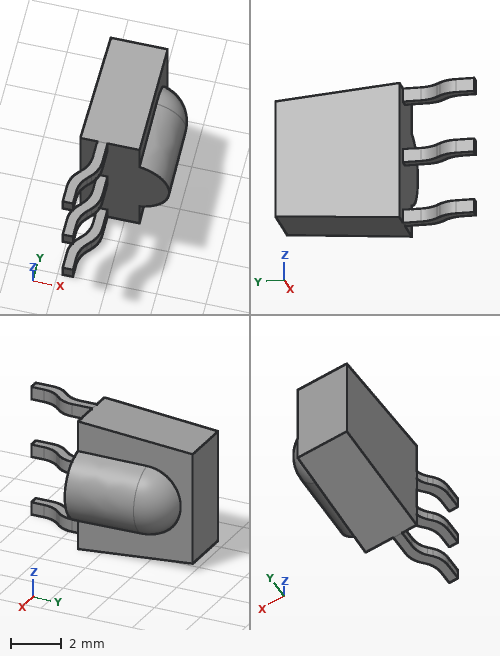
import cadquery as cq
import math

total_length = 8.0
lead_length = 3.0
body_depth = 2.4
body_height = 5.6
end_height = 4.8
side_draft = 0.05
body_length = total_length - lead_length

overall_depth = 3.6
lens_base_radius = 1.54
lens_dome_radius = 1.5
dome_center_y = 6.0
lens_center_x = overall_depth - lens_base_radius

lead_count = 3
lead_width = 0.54
lead_thickness = 0.42
lead_root_x = 0.69
lead_pitch = (body_height - lead_width) / (lead_count - 1)
bend_radius = 1.04
bend_angle = math.radians(42)
bend_start_y = 2.28


def make_body():
    """Wedge-shaped housing tapering towards its far end."""
    far_depth = body_depth - 2 * side_draft
    base = cq.Workplane("XZ", origin=(body_depth / 2, lead_length, 0))
    return (
        base.rect(body_depth, body_height)
        .workplane(offset=-body_length)
        .rect(far_depth, end_height)
        .loft(ruled=True)
    )


def make_lens():
    """Revolve the tapered column and its dome about an axis along Y."""
    column_length = dome_center_y - lead_length
    dome_mid = lens_dome_radius * math.sqrt(0.5)
    return (
        cq.Workplane("XY", origin=(lens_center_x, lead_length, 0))
        .lineTo(lens_base_radius, 0)
        .lineTo(lens_dome_radius, column_length)
        .threePointArc((dome_mid, column_length + dome_mid), (0, column_length + lens_dome_radius))
        .close()
        .revolve(360, (0, 0), (0, 1))
    )


def s_bend_points(shift_x, shift_y):
    """Arc ends and midpoints of one lead edge, from the root to the tip."""
    half_angle = bend_angle / 2
    arc_dx = bend_radius * (1 - math.cos(bend_angle))
    arc_dy = bend_radius * math.sin(bend_angle)
    mid_dx = bend_radius * (1 - math.cos(half_angle))
    mid_dy = bend_radius * math.sin(half_angle)
    straight_dy = (lead_root_x - 2 * arc_dx) / math.tan(bend_angle)
    bend_end_y = bend_start_y - 2 * arc_dy - straight_dy
    points = [
        (lead_root_x, bend_start_y),
        (lead_root_x - mid_dx, bend_start_y - mid_dy),
        (lead_root_x - arc_dx, bend_start_y - arc_dy),
        (arc_dx, bend_end_y + arc_dy),
        (mid_dx, bend_end_y + mid_dy),
        (0, bend_end_y),
    ]
    return [(x + shift_x, y + shift_y) for x, y in points]


def make_lead(center_z):
    """One bent strip, centred at the given height."""
    edge_shift_y = -lead_thickness * math.tan(bend_angle / 2)
    back = s_bend_points(0, 0)
    front = s_bend_points(lead_thickness, edge_shift_y)[::-1]
    return (
        cq.Workplane("XY", origin=(0, 0, center_z))
        .moveTo(lead_root_x, lead_length)
        .lineTo(*back[0])
        .threePointArc(back[1], back[2])
        .lineTo(*back[3])
        .threePointArc(back[4], back[5])
        .lineTo(0, 0)
        .lineTo(lead_thickness, 0)
        .lineTo(*front[0])
        .threePointArc(front[1], front[2])
        .lineTo(*front[3])
        .threePointArc(front[4], front[5])
        .lineTo(lead_root_x + lead_thickness, lead_length)
        .close()
        .extrude(lead_width / 2, both=True)
    )


result = make_body().union(make_lens())
for index in range(lead_count):
    lead_z = (index - (lead_count - 1) / 2) * lead_pitch
    result = result.union(make_lead(lead_z))